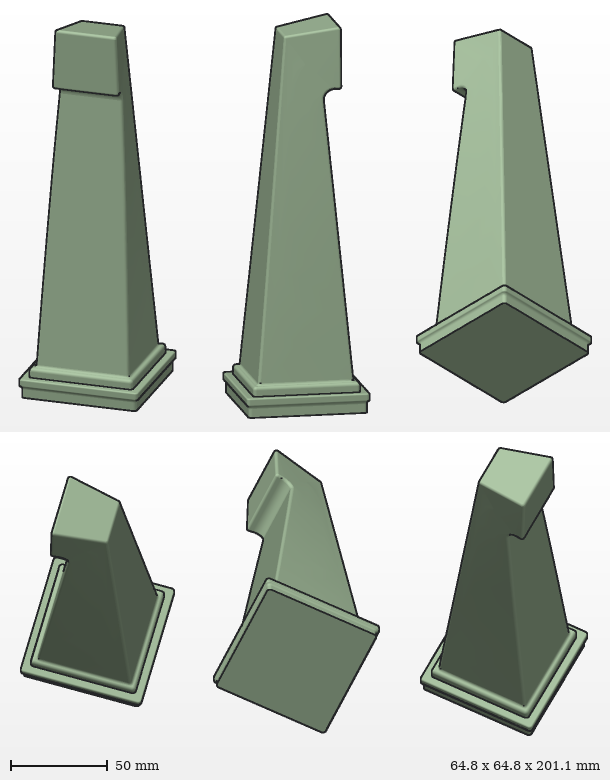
import cadquery as cq
import math

plinth_width = 62.4
plinth_top = 6.2
flange_width = 64.8
flange_top = 10.5
step_width = 56.3
step_top = 15.5
base_corner_radius = 1.8
flange_upper_radius = 0.8
flange_lower_radius = 0.8
plinth_cove_radius = 1.8
step_edge_radius = 1.8

body_width = 50.5
front_top_z = 201.4
front_top_y = -20.3
front_top_width = 33.8
back_top_z = 196.5
back_top_y = 8.9
back_top_width = 23.7
body_edge_radius = 1.5
foot_cove_radius = 1.5

nose_bottom_z = 168.5
neck_top_y = -11.3
recess_radius = 5.6
neck_top_z = nose_bottom_z - recess_radius

blank_top_z = front_top_z + 2
margin = 0.1


def rounded_square(width, bottom, top):
    """Square block centred on the Z axis, with rounded upright corners."""
    block = cq.Workplane("XY", origin=(0, 0, bottom)).rect(width, width).extrude(top - bottom)
    return block.edges("|Z").fillet(base_corner_radius)


def edges_at(width, height):
    """Selector for edges inside a square of the given width at one height."""
    reach = width / 2 + margin
    return cq.selectors.BoxSelector(
        (-reach, -reach, height - margin), (reach, reach, height + margin), boundingbox=True
    )


def make_base():
    flange = rounded_square(flange_width, plinth_top, flange_top)
    flange = flange.faces(">Z").edges().fillet(flange_upper_radius)
    flange = flange.faces("<Z").edges().fillet(flange_lower_radius)
    base = rounded_square(plinth_width, 0, plinth_top).union(flange)
    base = base.edges(edges_at(plinth_width, plinth_top)).fillet(plinth_cove_radius)
    step = rounded_square(step_width, flange_top, step_top)
    step = step.faces(">Z").edges().fillet(step_edge_radius)
    return base.union(step)


def make_tapered_block():
    """Ruled block from the square foot to the narrower, sloping top."""
    half = body_width / 2
    foot = [
        (-half, -half, step_top),
        (half, -half, step_top),
        (half, half, step_top),
        (-half, half, step_top),
    ]
    top = [
        (-front_top_width / 2, front_top_y, front_top_z),
        (front_top_width / 2, front_top_y, front_top_z),
        (back_top_width / 2, back_top_y, back_top_z),
        (-back_top_width / 2, back_top_y, back_top_z),
    ]
    outlines = [cq.Wire.makePolygon([cq.Vector(*p) for p in ring], close=True) for ring in (foot, top)]
    return cq.Workplane(obj=cq.Solid.makeLoft(outlines, True))


def make_front_waste():
    """Material removed in front of the neck and the nose."""
    clear_y = -body_width
    diagonal = recess_radius * math.sqrt(0.5)
    arc_centre_y = neck_top_y - recess_radius
    return (
        cq.Workplane("YZ")
        .moveTo(clear_y, step_top)
        .lineTo(-body_width / 2, step_top)
        .lineTo(neck_top_y, neck_top_z)
        .threePointArc(
            (arc_centre_y + diagonal, neck_top_z + diagonal), (arc_centre_y, nose_bottom_z)
        )
        .lineTo(front_top_y, nose_bottom_z)
        .lineTo(front_top_y, blank_top_z)
        .lineTo(clear_y, blank_top_z)
        .close()
        .extrude(body_width, both=True)
    )


def make_body():
    """Body with every edge rounded except its foot and the two ends of the recess arc."""
    body = make_tapered_block().cut(make_front_waste())
    above_foot = cq.selectors.BoxSelector(
        (-body_width, -body_width, step_top + margin), (body_width, body_width, blank_top_z)
    )
    recess_ends = cq.selectors.BoxSelector(
        (-margin, neck_top_y - recess_radius - margin, neck_top_z - margin),
        (margin, neck_top_y + margin, nose_bottom_z + margin),
    )
    rounded_edges = cq.selectors.SubtractSelector(above_foot, recess_ends)
    return body.edges(rounded_edges).fillet(body_edge_radius)


def make_pedestal():
    pedestal = make_base().union(make_body())
    return pedestal.edges(edges_at(body_width, step_top)).fillet(foot_cove_radius)


result = make_pedestal()